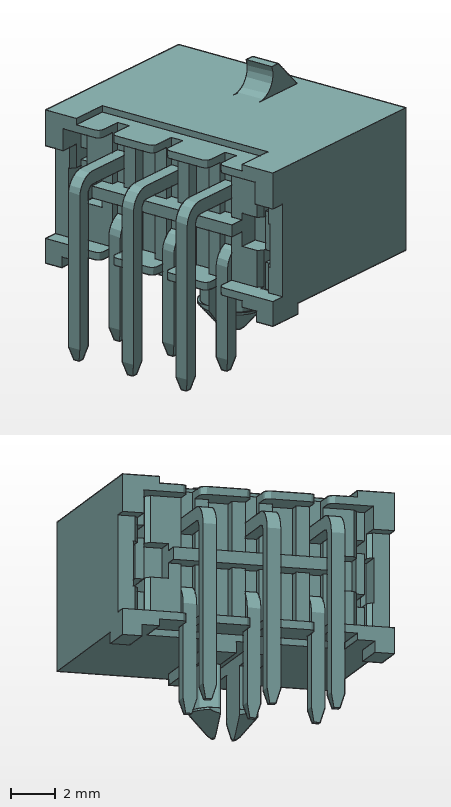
import cadquery as cq
import math


WIDTH = 12.7
DEPTH = 9.89
BOTTOM = 0.52
TOP = 7.37

OPENING_WIDTH = 10.72
OPENING_BOTTOM = 1.2
OPENING_TOP = 6.69
INSERT_WIDTH = 9.9
INSERT_FACE = 0.97
INSERT_CHAMFER_X = 0.2
INSERT_CHAMFER_Y = 0.25
POCKET_DEPTH = 1.93
GAP_DEPTH = 1.32
GAP_BOTTOM = 1.04

WINDOW_DEPTH = 0.74
WINDOW_TOP = 5.64
LEAD_IN_X = 0.19
LEAD_IN_Y = 0.25
WALL_NOTCH_HALF_WIDTH = 5.63
WALL_NOTCH_BOTTOM = 2.44
WALL_NOTCH_TOP = 4.51
INSERT_NOTCH_BOTTOM = 2.96
INSERT_NOTCH_TOP = 4.55
THROUGH_HOLE_HEIGHT = 0.6
THROUGH_HOLE_BOTTOMS = (2.34, 4.8)

RECESS_WIDTH = 9.25
RECESS_HEIGHT = 0.3

GROOVE_WIDTH = 1.1
GROOVE_DEPTH = 0.56
BAR_LENGTH = 7.82
BAR_FRONT = 0.2
BAR_BOTTOM = 3.66
BAR_TOP = 4.23

PITCH = 3.0
PIN = 0.64
PIN_BEND = 1.0
PIN_BOTTOM = -3.19
TIP_LENGTH = 0.64
TIP_WIDTH = 0.29
UPPER_PIN_TOP = 5.75
UPPER_PIN_FRONT = -2.32
SLOT_DEPTH = 1.33
SLOT_CORNER = 0.3
PIN_END = POCKET_DEPTH

LATCH_WIDTH = 1.44
LATCH_HEIGHT = 1.41
LATCH_BACK = 9.3
LATCH_CREST = 7.9
LATCH_FOOT = 6.49
LATCH_ARC = 1.0

FOOT_WIDTH = 0.91
FOOT_DEPTH = 1.88
RAIL_BACK = 8.89
SPLIT_HALF_WIDTH = 0.45
PEG_RADIUS = 1.0
PEG_Y = 5.28
PEG_BOTTOM = PIN_BOTTOM
PEG_LIP_TOP = -2.0
PEG_LIP_BOTTOM = -2.1
PEG_LIP_RADIUS = 1.12
PEG_CONE_BOTTOM = -3.02
PEG_CONE_RADIUS = 0.33
PEG_TIP_RADIUS = 0.13

PIN_COLUMNS = (-PITCH, 0, PITCH)
SIDES = (-1, 1)
COS_45 = math.sqrt(0.5)


def box(x0, x1, y0, y1, z0, z1):
    """Box between two opposite corners; each pair may come in either order."""
    size_x, size_y, size_z = abs(x1 - x0), abs(y1 - y0), abs(z1 - z0)
    corner = (min(x0, x1), min(y0, y1), min(z0, z1))
    return cq.Workplane("XY").box(size_x, size_y, size_z, centered=False).translate(corner)


def centered_box(width, y0, y1, z0, z1):
    return box(-width / 2, width / 2, y0, y1, z0, z1)


def upright_prism(points, z0, z1):
    return cq.Workplane("XY", origin=(0, 0, z0)).polyline(points).close().extrude(z1 - z0)


def side_cuts(side):
    """Window, gap beside the insert, lead-in, notches and through holes of one side."""
    outer_wall = side * WIDTH / 2
    wall = side * OPENING_WIDTH / 2
    insert = side * INSERT_WIDTH / 2
    insert_flat = insert - side * INSERT_CHAMFER_X
    wall_notch = side * WALL_NOTCH_HALF_WIDTH
    bar_end = side * BAR_LENGTH / 2

    cuts = box(wall, outer_wall, 0, WINDOW_DEPTH, OPENING_BOTTOM, WINDOW_TOP)
    cuts = cuts.union(box(insert, wall, INSERT_FACE, GAP_DEPTH, GAP_BOTTOM, OPENING_TOP))
    lead_in = [
        (wall, WINDOW_DEPTH),
        (wall + side * LEAD_IN_X, WINDOW_DEPTH),
        (wall, WINDOW_DEPTH + LEAD_IN_Y),
    ]
    cuts = cuts.union(upright_prism(lead_in, OPENING_BOTTOM, WINDOW_TOP))
    insert_chamfer = [
        (insert, INSERT_FACE),
        (insert_flat, INSERT_FACE),
        (insert, INSERT_FACE + INSERT_CHAMFER_Y),
    ]
    cuts = cuts.union(upright_prism(insert_chamfer, OPENING_BOTTOM, OPENING_TOP))
    cuts = cuts.union(
        box(wall, wall_notch, WINDOW_DEPTH, POCKET_DEPTH, WALL_NOTCH_BOTTOM, WALL_NOTCH_TOP)
    )
    cuts = cuts.union(
        box(bar_end, insert, INSERT_FACE, POCKET_DEPTH, INSERT_NOTCH_BOTTOM, INSERT_NOTCH_TOP)
    )
    for bottom in THROUGH_HOLE_BOTTOMS:
        cuts = cuts.union(box(insert, wall, INSERT_FACE, DEPTH, bottom, bottom + THROUGH_HOLE_HEIGHT))
    return cuts


def pin_slot(x):
    """Open-ended slot for one pin column, flared by rounded corners at y = 0."""
    half = PIN / 2
    flare = half + SLOT_CORNER
    mid_y = SLOT_CORNER * (1 - COS_45)
    mid = half + mid_y
    profile = (
        cq.Workplane("XY", origin=(x, 0, BOTTOM))
        .moveTo(-flare, 0)
        .threePointArc((-mid, mid_y), (-half, SLOT_CORNER))
        .lineTo(-half, SLOT_DEPTH)
        .lineTo(half, SLOT_DEPTH)
        .lineTo(half, SLOT_CORNER)
        .threePointArc((mid, mid_y), (flare, 0))
        .close()
    )
    return profile.extrude(TOP - RECESS_HEIGHT - BOTTOM)


def housing():
    body = centered_box(WIDTH, 0, DEPTH, BOTTOM, TOP)
    body = body.cut(centered_box(RECESS_WIDTH, 0, POCKET_DEPTH, TOP - RECESS_HEIGHT, TOP))
    body = body.cut(centered_box(RECESS_WIDTH, 0, POCKET_DEPTH, BOTTOM, BOTTOM + RECESS_HEIGHT))
    body = body.cut(centered_box(OPENING_WIDTH, 0, INSERT_FACE, OPENING_BOTTOM, OPENING_TOP))
    for side in SIDES:
        body = body.cut(side_cuts(side))
        groove_x = side * PITCH / 2
        body = body.cut(
            box(
                groove_x - GROOVE_WIDTH / 2,
                groove_x + GROOVE_WIDTH / 2,
                INSERT_FACE,
                INSERT_FACE + GROOVE_DEPTH,
                OPENING_BOTTOM,
                OPENING_TOP,
            )
        )
    for x in PIN_COLUMNS:
        body = body.cut(pin_slot(x))
    return body.union(centered_box(BAR_LENGTH, BAR_FRONT, SLOT_DEPTH, BAR_BOTTOM, BAR_TOP))


def pin(x, front, top):
    """Square pin bent from horizontal to vertical, with a tapered tip."""
    back = front + PIN
    shank_bottom = PIN_BOTTOM + TIP_LENGTH
    shank = (
        cq.Workplane("YZ", origin=(x - PIN / 2, 0, 0))
        .moveTo(front, shank_bottom)
        .lineTo(front, top - PIN_BEND)
        .radiusArc((front + PIN_BEND, top), PIN_BEND)
        .lineTo(PIN_END, top)
        .lineTo(PIN_END, top - PIN)
        .lineTo(front + PIN_BEND, top - PIN)
        .radiusArc((back, top - PIN_BEND), -(PIN_BEND - PIN))
        .lineTo(back, shank_bottom)
        .close()
        .extrude(PIN)
    )
    tip = (
        cq.Workplane("XY", origin=(x, front + PIN / 2, shank_bottom))
        .rect(PIN, PIN)
        .workplane(offset=-TIP_LENGTH)
        .rect(TIP_WIDTH, TIP_WIDTH)
        .loft(ruled=True)
    )
    return shank.union(tip)


def latch():
    """Ramp with a flat crest and a concave face tangent to the housing top."""
    crest_z = TOP + LATCH_HEIGHT
    arc_z = TOP + LATCH_ARC
    crest_front = LATCH_FOOT + math.sqrt(LATCH_ARC**2 - (crest_z - arc_z) ** 2)
    arc_mid = (LATCH_FOOT + LATCH_ARC * COS_45, arc_z - LATCH_ARC * COS_45)
    return (
        cq.Workplane("YZ", origin=(-LATCH_WIDTH / 2, 0, 0))
        .moveTo(LATCH_BACK, TOP)
        .lineTo(LATCH_CREST, crest_z)
        .lineTo(crest_front, crest_z)
        .threePointArc(arc_mid, (LATCH_FOOT, TOP))
        .close()
        .extrude(LATCH_WIDTH)
    )


def underside(side):
    """Corner foot, rail and half peg of one side."""
    outer = side * WIDTH / 2
    split = side * SPLIT_HALF_WIDTH
    rail_outer = split + side * PEG_RADIUS
    foot = box(outer - side * FOOT_WIDTH, outer, 0, FOOT_DEPTH, 0, BOTTOM)
    rail = box(split, rail_outer, POCKET_DEPTH, RAIL_BACK, 0, BOTTOM)
    peg = (
        cq.Workplane("XZ", origin=(split, PEG_Y, 0))
        .moveTo(0, 0)
        .lineTo(PEG_RADIUS, 0)
        .lineTo(PEG_RADIUS, PEG_LIP_TOP)
        .lineTo(PEG_LIP_RADIUS, PEG_LIP_TOP)
        .lineTo(PEG_LIP_RADIUS, PEG_LIP_BOTTOM)
        .lineTo(PEG_CONE_RADIUS, PEG_CONE_BOTTOM)
        .lineTo(PEG_TIP_RADIUS, PEG_BOTTOM)
        .lineTo(0, PEG_BOTTOM)
        .close()
        .revolve(360, (0, 0, 0), (0, 1, 0))
    )
    half_slab = box(
        split,
        split + side * PEG_LIP_RADIUS,
        PEG_Y - PEG_RADIUS,
        PEG_Y + PEG_RADIUS,
        PEG_BOTTOM,
        0,
    )
    return foot.union(rail).union(peg.intersect(half_slab))


result = housing().union(latch())
for side in SIDES:
    result = result.union(underside(side))
for x in PIN_COLUMNS:
    result = result.union(pin(x, UPPER_PIN_FRONT, UPPER_PIN_TOP))
    result = result.union(pin(x, UPPER_PIN_FRONT + PITCH, UPPER_PIN_TOP - PITCH))